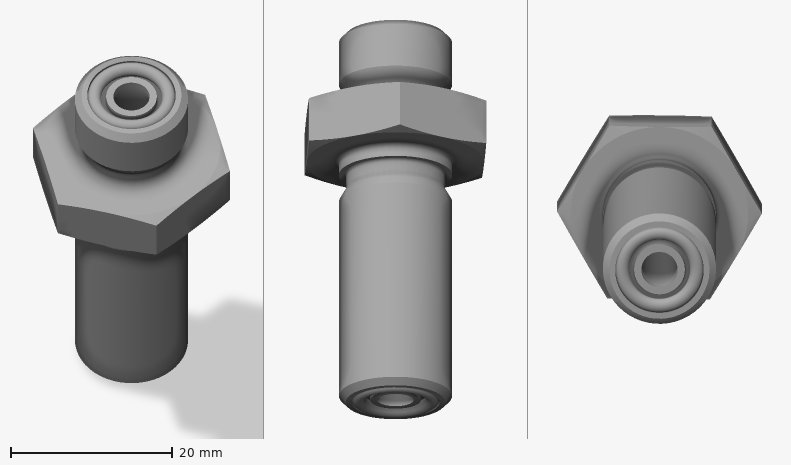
import cadquery as cq
import math

total_length = 48.8
seal_protrusion = 0.3
lower_face_z = seal_protrusion
upper_face_z = total_length - seal_protrusion

body_radius = 14.05 / 2
neck_radius = 12.25 / 2
neck_step = body_radius - neck_radius
end_chamfer = 0.85
bore_radius = 4.5 / 2
cone_angle = 30
cone_length = neck_step / math.tan(math.radians(cone_angle))
upper_cone_top_z = 42.2
upper_neck_fillet = 1.0
collar_bottom_z = 30.25
collar_fillet = 0.55
lower_neck_fillet = 0.35
lower_cone_bottom_z = 26.75
cone_blend_radius = 0.8

hex_across_flats = 22.0
hex_bottom_z = 31.95
hex_top_z = 38.4
hex_height = hex_top_z - hex_bottom_z
hex_corner_radius = hex_across_flats / math.sqrt(3)
hex_chamfer_drop = 0.45
hex_turn = 30

groove_outer_radius = 11.0 / 2
groove_inner_radius = 6.3 / 2
groove_corner_radius = 0.35
land_drop = 0.3
seal_tube_radius = 0.855
seal_pitch_radius = groove_outer_radius - seal_tube_radius
groove_depth = 2 * seal_tube_radius - seal_protrusion


def revolve_profile(profile):
    """Turn a closed (radius, z) profile about the Z axis."""
    return profile.revolve(360, (0, 0, 0), (0, 1, 0))


def arc_point(center_r, center_z, radius, angle):
    """Point on an arc in the (radius, z) plane, at an angle in degrees."""
    turn = math.radians(angle)
    return (center_r + radius * math.cos(turn), center_z + radius * math.sin(turn))


def cone_blend(sharp_z, direction):
    """Start, middle and end of the arc from neck to cone; direction is +1 if the cone is above."""
    center_r = neck_radius + cone_blend_radius
    center_z = sharp_z - direction * cone_blend_radius * math.tan(math.radians(cone_angle / 2))
    return [
        arc_point(center_r, center_z, cone_blend_radius, 180 - direction * angle)
        for angle in (0, cone_angle / 2, cone_angle)
    ]


def make_turned_body():
    """Stud with chamfered ends, a neck on each side of the hexagon and a collar below it."""
    end_radius = body_radius - end_chamfer
    lower_start, lower_middle, lower_end = cone_blend(lower_cone_bottom_z + cone_length, -1)
    upper_start, upper_middle, upper_end = cone_blend(upper_cone_top_z - cone_length, 1)
    profile = (
        cq.Workplane("XZ")
        .moveTo(0, lower_face_z)
        .lineTo(end_radius, lower_face_z)
        .lineTo(body_radius, lower_face_z + end_chamfer)
        .lineTo(body_radius, lower_cone_bottom_z)
        .lineTo(*lower_end)
        .threePointArc(lower_middle, lower_start)
        .lineTo(neck_radius, collar_bottom_z - lower_neck_fillet)
        .threePointArc(
            arc_point(
                neck_radius + lower_neck_fillet, collar_bottom_z - lower_neck_fillet, lower_neck_fillet, 135
            ),
            (neck_radius + lower_neck_fillet, collar_bottom_z),
        )
        .lineTo(body_radius, collar_bottom_z)
        .lineTo(body_radius, hex_bottom_z - collar_fillet)
        .threePointArc(
            arc_point(body_radius + collar_fillet, hex_bottom_z - collar_fillet, collar_fillet, 135),
            (body_radius + collar_fillet, hex_bottom_z),
        )
        .lineTo(neck_radius + upper_neck_fillet, hex_top_z)
        .threePointArc(
            arc_point(
                neck_radius + upper_neck_fillet, hex_top_z + upper_neck_fillet, upper_neck_fillet, 225
            ),
            (neck_radius, hex_top_z + upper_neck_fillet),
        )
        .lineTo(*upper_start)
        .threePointArc(upper_middle, upper_end)
        .lineTo(body_radius, upper_cone_top_z)
        .lineTo(body_radius, upper_face_z - end_chamfer)
        .lineTo(end_radius, upper_face_z)
        .lineTo(0, upper_face_z)
        .close()
    )
    return revolve_profile(profile)


def make_hexagon():
    """Hexagon with two flats square to X and corners cut back by a cone on both faces."""
    prism = (
        cq.Workplane("XY", origin=(0, 0, hex_bottom_z))
        .polygon(6, 2 * hex_corner_radius)
        .extrude(hex_height)
        .rotate((0, 0, 0), (0, 0, 1), hex_turn)
    )
    flat_radius = hex_across_flats / 2
    corner_cutter = revolve_profile(
        cq.Workplane("XZ")
        .moveTo(0, hex_bottom_z)
        .lineTo(flat_radius, hex_bottom_z)
        .lineTo(hex_corner_radius, hex_bottom_z + hex_chamfer_drop)
        .lineTo(hex_corner_radius, hex_top_z - hex_chamfer_drop)
        .lineTo(flat_radius, hex_top_z)
        .lineTo(0, hex_top_z)
        .close()
    )
    return prism.intersect(corner_cutter)


def make_face_groove(face_z, inward):
    """Ring groove cut into an end face, with rounded floor corners."""
    ring = (
        cq.Workplane("XY", origin=(0, 0, face_z))
        .circle(groove_outer_radius)
        .circle(groove_inner_radius)
        .extrude(inward * groove_depth)
    )
    floor = "<Z" if inward < 0 else ">Z"
    return ring.faces(floor).edges().fillet(groove_corner_radius)


def make_land_recess(face_z, inward):
    """Disc cut that sets the land inside the groove back from the end face."""
    return cq.Workplane("XY", origin=(0, 0, face_z)).circle(groove_inner_radius).extrude(inward * land_drop)


def make_housing():
    """Stud and hexagon in one piece, bored through and grooved at both ends."""
    bore = cq.Workplane("XY").circle(bore_radius).extrude(total_length)
    housing = make_turned_body().union(make_hexagon()).cut(bore)
    for face_z, inward in ((lower_face_z, 1), (upper_face_z, -1)):
        housing = housing.cut(make_face_groove(face_z, inward))
        housing = housing.cut(make_land_recess(face_z, inward))
    return housing


def make_seal(center_z):
    """O-ring resting on its groove floor."""
    section = cq.Workplane("XZ").moveTo(seal_pitch_radius, center_z).circle(seal_tube_radius)
    return revolve_profile(section)


housing = make_housing()
seals = [make_seal(center_z) for center_z in (seal_tube_radius, total_length - seal_tube_radius)]

result = cq.Compound.makeCompound([housing.val(), *[seal.val() for seal in seals]])